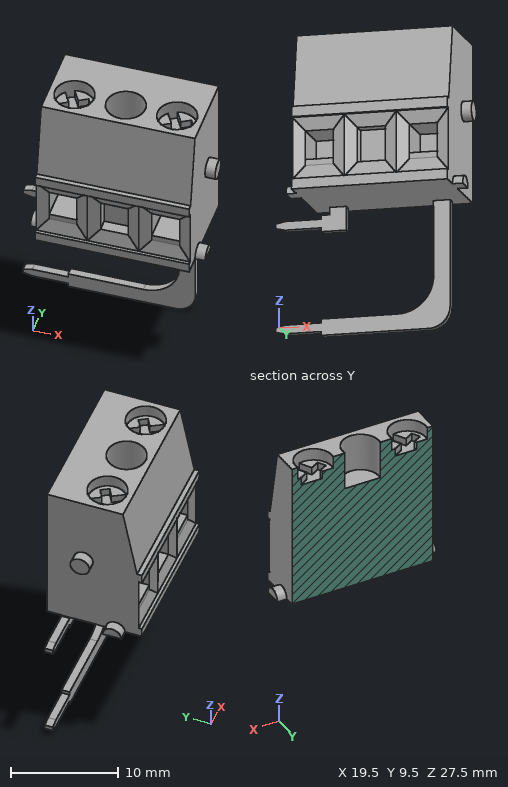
import cadquery as cq


overall_height = 27.5

pole_count = 3
pole_pitch = 5.0
body_width = pole_count * pole_pitch
body_depth = 9.5
body_height = 15.24
top_depth = 7.6
slope_depth = 9.0
lip_thickness = 1.0
lip_projection = 0.33
upper_lip_top = 7.95
entry_bottom = lip_thickness
entry_top = upper_lip_top - lip_thickness
entry_face_depth = body_depth - lip_projection

funnel_depth = 0.4
funnel_top_inset = 1.26
funnel_bottom_inset = 1.4
window_width = 2.7
window_bottom = entry_bottom + funnel_bottom_inset
window_top = entry_top - funnel_top_inset
clamp_sill = 0.55
wire_chamber_depth = 4.0
blind_pocket_depth = 1.15

hole_diameter = 3.8
hole_back_distance = 5.1
screw_recess = 1.26
open_hole_depth = 4.0
slot_width = 0.9
short_slot_length = 2.92
slot_depth = 0.8
slot_angle = -60

stud_diameter = 1.9
stud_length = 1.0
upper_stud_height = 7.98
upper_stud_back_distance = 3.65
stud_spacing = 3.2
right_stud_shift = 0.2

pin_thickness = 0.82
pin_back_distance = 1.1
pin_width = 1.6
shoulder_x = 0.9
tip_x = -3.5
blade_width = 0.85
tip_width = 0.47
tip_taper_length = 0.88
upper_pin_drop = 2.28
lower_pin_drop = overall_height - body_height
inner_bend_radius = 3.5
outer_bend_radius = 2.0

pole_centers = [(pole + 0.5) * pole_pitch for pole in range(pole_count)]
left_pole, middle_pole, right_pole = pole_centers
screw_poles = (left_pole, right_pole)


def box(x_range, y_range, z_range):
    """Axis-aligned box given its limits along each axis."""
    lengths = [high - low for low, high in (x_range, y_range, z_range)]
    corner = (x_range[0], y_range[0], z_range[0])
    return cq.Workplane("XY").box(*lengths, centered=False).translate(corner)


def make_housing():
    """Side profile swept along the row of poles."""
    return (
        cq.Workplane("YZ")
        .moveTo(0, 0)
        .lineTo(0, body_height)
        .lineTo(-top_depth, body_height)
        .lineTo(-slope_depth, upper_lip_top)
        .lineTo(-body_depth, upper_lip_top)
        .lineTo(-body_depth, entry_top)
        .lineTo(-entry_face_depth, entry_top)
        .lineTo(-entry_face_depth, entry_bottom)
        .lineTo(-body_depth, entry_bottom)
        .lineTo(-body_depth, 0)
        .close()
        .extrude(body_width)
    )


def make_funnel(x):
    """Tapered wire lead-in that narrows from a full pole to its window."""
    entry_center = (entry_top + entry_bottom) / 2
    window_center = (window_top + window_bottom) / 2
    return (
        cq.Workplane("XZ", origin=(x, -entry_face_depth, entry_center))
        .rect(pole_pitch, entry_top - entry_bottom)
        .workplane(offset=-funnel_depth)
        .center(0, window_center - entry_center)
        .rect(window_width, window_top - window_bottom)
        .loft(ruled=True)
    )


def make_window(x, bottom, depth):
    """Rectangular pocket running back from the narrow end of a funnel."""
    front = funnel_depth - entry_face_depth
    half_width = window_width / 2
    return box((x - half_width, x + half_width), (front, front + depth), (bottom, window_top))


def make_top_hole(x, depth):
    return (
        cq.Workplane("XY", origin=(x, -hole_back_distance, body_height - depth))
        .circle(hole_diameter / 2)
        .extrude(depth)
    )


def make_screw_slots(x):
    """Cross recess with one slot over the full head and a shorter crossing slot."""
    head_top = body_height - screw_recess
    base = cq.Workplane("XY", origin=(0, 0, head_top - slot_depth))
    head = base.circle(hole_diameter / 2).extrude(slot_depth)
    long_slot = base.rect(hole_diameter, slot_width).extrude(slot_depth).intersect(head)
    short_slot = base.rect(slot_width, short_slot_length).extrude(slot_depth)
    slots = long_slot.union(short_slot)
    return slots.rotate((0, 0, 0), (0, 0, 1), slot_angle).translate((x, -hole_back_distance, 0))


def make_studs(x, upper_y):
    """Round upper stud and half-round lower stud, extruded along +X from x."""
    plane = cq.Workplane("YZ", origin=(x, 0, 0))
    radius = stud_diameter / 2
    upper = plane.center(upper_y, upper_stud_height).circle(radius).extrude(stud_length)
    lower = (
        plane.center(upper_y - stud_spacing, 0)
        .moveTo(-radius, 0)
        .threePointArc((0, radius), (radius, 0))
        .close()
        .extrude(stud_length)
    )
    return upper.union(lower)


def make_pin(x, drop):
    """Flat L-shaped pin: leg down from the housing, foot and tapered blade toward -X."""
    right = x + pin_width / 2
    left = x - pin_width / 2
    foot_bottom = -drop
    foot_top = foot_bottom + pin_width
    blade_z = (foot_bottom + foot_top) / 2
    taper_x = tip_x + tip_taper_length
    return (
        cq.Workplane("XZ", origin=(0, -pin_back_distance, 0))
        .moveTo(left, 0)
        .lineTo(left, foot_top)
        .lineTo(shoulder_x, foot_top)
        .lineTo(shoulder_x, blade_z + blade_width / 2)
        .lineTo(taper_x, blade_z + blade_width / 2)
        .lineTo(tip_x, blade_z + tip_width / 2)
        .lineTo(tip_x, blade_z - tip_width / 2)
        .lineTo(taper_x, blade_z - blade_width / 2)
        .lineTo(shoulder_x, blade_z - blade_width / 2)
        .lineTo(shoulder_x, foot_bottom)
        .lineTo(right, foot_bottom)
        .lineTo(right, 0)
        .close()
        .extrude(pin_thickness)
    )


def round_bend(pin, x, drop):
    """Round the inner and outer corners where the pin's leg meets its foot."""
    y = -pin_back_distance - pin_thickness / 2
    inner_corner = (x - pin_width / 2, y, pin_width - drop)
    outer_corner = (x + pin_width / 2, y, -drop)
    pin = pin.edges("|Y").edges(cq.NearestToPointSelector(inner_corner)).fillet(inner_bend_radius)
    return pin.edges("|Y").edges(cq.NearestToPointSelector(outer_corner)).fillet(outer_bend_radius)


result = make_housing()
for pole_x in pole_centers:
    result = result.cut(make_funnel(pole_x))
for pole_x in screw_poles:
    result = result.cut(make_window(pole_x, window_bottom + clamp_sill, wire_chamber_depth))
result = result.cut(make_window(middle_pole, window_bottom, blind_pocket_depth))

for pole_x in screw_poles:
    result = result.cut(make_top_hole(pole_x, screw_recess))
    result = result.cut(make_screw_slots(pole_x))
result = result.cut(make_top_hole(middle_pole, open_hole_depth))

result = result.union(make_studs(-stud_length, -upper_stud_back_distance))
result = result.union(make_studs(body_width, right_stud_shift - upper_stud_back_distance))

result = result.union(make_pin(left_pole, upper_pin_drop))
long_pin = make_pin(right_pole, lower_pin_drop)
result = result.union(round_bend(long_pin, right_pole, lower_pin_drop))